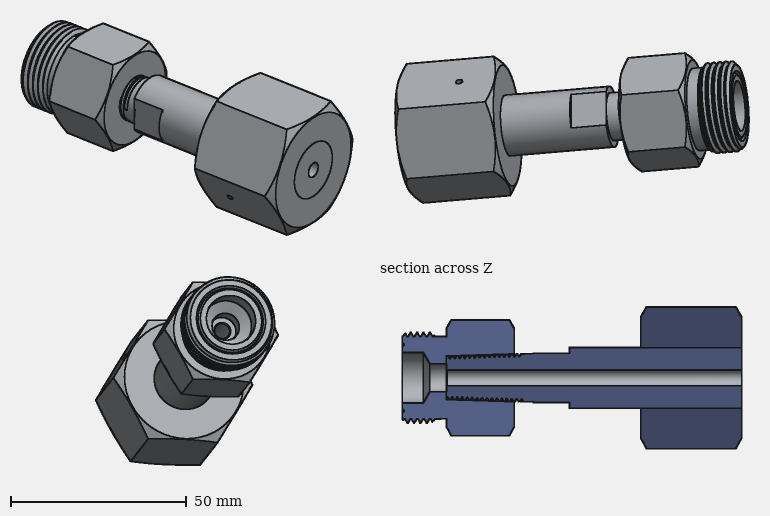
import cadquery as cq
import math


adapter_hex_start = 12.5
adapter_hex_end = 31.85
stem_shoulder = 37.3
wrench_flat_end = 47.5
nut_start = 67.75
overall_length = 96.5

adapter_across_flats = 28.6
nut_across_flats = 34.9
hex_chamfer_inset = 0.2
hex_chamfer_angle = 30.0

neck_radius = 11.8
thread_crest_radius = 12.9
thread_pitch = 9.1 / 5
thread_crest_width = 0.2
thread_flank_angle = 30.0
thread_length = 9.4
thread_end_chamfer = 1.3
thread_helix_start = -1.6
face_groove_radius = 9.5
face_groove_half_width = 0.6
face_groove_depth = 0.6
bore_radius = 7.1
bore_depth = 6.0
bore_cone_depth = 1.8
passage_radius = 4.0

stem_radius = 8.7
spigot_radius = 6.9
wrench_flat_distance = 7.0
gas_hole_radius = 2.2
gas_hole_chamfer = 0.2
pipe_taper_start = 35.2
pipe_taper = 1 / 32
pipe_thread_pitch = 7.0 / 5
pipe_thread_depth = 0.8
pipe_thread_end = 34.0
pipe_thread_turns = 15 + 3 / 4
spigot_tip_radius = spigot_radius - pipe_taper * (pipe_taper_start - adapter_hex_start)
socket_mouth_radius = spigot_radius - pipe_taper * (pipe_taper_start - adapter_hex_end)

vent_position = 78.3
vent_diameter = 1.8
vent_tilt = 30.0

blend_overlap = 0.1
straight_helix = 360.0


def cylinder(start, end, radius):
    """Solid cylinder along X."""
    return cq.Workplane("YZ").workplane(offset=start).circle(radius).extrude(end - start)


def revolved(profile):
    """Solid turned about the X axis from (x, radius) points."""
    return cq.Workplane("XY").polyline(profile).close().revolve(360, (0, 0, 0), (1, 0, 0))


def chamfered_hexagon(start, end, across_flats):
    """Hexagonal bar along X, two sides facing +Z and -Z, with turned corners at both ends."""
    corner_radius = across_flats / math.sqrt(3)
    chamfer_radius = across_flats / 2 - hex_chamfer_inset
    chamfer_length = (corner_radius - chamfer_radius) * math.tan(math.radians(hex_chamfer_angle))
    bar = cq.Workplane("YZ").workplane(offset=start).polygon(6, 2 * corner_radius).extrude(end - start)
    envelope = revolved([
        (start, 0),
        (start, chamfer_radius),
        (start + chamfer_length, corner_radius),
        (end - chamfer_length, corner_radius),
        (end, chamfer_radius),
        (end, 0),
    ])
    return bar.intersect(envelope)


def helical_sweep(profile, start, pitch, turns, cone_angle=straight_helix):
    """Right-hand sweep along X of a (radius, axial offset) profile, starting below the axis.

    The cone angle, in degrees from the axis, widens the helix towards +X.
    """
    helix = cq.Workplane(obj=cq.Wire.makeHelix(pitch, pitch * turns, profile[0][0], angle=cone_angle))
    swept = cq.Workplane("XZ").polyline(profile).close().sweep(helix, isFrenet=True)
    return swept.rotate((0, 0, 0), (0, 1, 0), 90).translate((start, 0, 0))


def adapter_thread():
    """Ridge of the external thread, chamfered at both ends."""
    base_radius = neck_radius - blend_overlap
    crest_half = thread_crest_width / 2
    flank_run = (thread_crest_radius - base_radius) * math.tan(math.radians(thread_flank_angle))
    base_half = crest_half + flank_run
    profile = [
        (base_radius, -base_half),
        (thread_crest_radius, -crest_half),
        (thread_crest_radius, crest_half),
        (base_radius, base_half),
    ]
    turns = math.ceil((thread_length - thread_helix_start) / thread_pitch)
    ridge = helical_sweep(profile, thread_helix_start, thread_pitch, turns)
    outer_radius = thread_crest_radius + blend_overlap
    envelope = revolved([
        (0, 0),
        (0, outer_radius - thread_end_chamfer),
        (thread_end_chamfer, outer_radius),
        (thread_length - thread_end_chamfer, outer_radius),
        (thread_length, outer_radius - thread_end_chamfer),
        (thread_length, 0),
    ])
    return ridge.intersect(envelope)


def make_adapter():
    """Threaded hexagonal adapter with a stepped passage from the front face to the stem socket."""
    neck = cylinder(0, adapter_hex_start, neck_radius)
    hexagon = chamfered_hexagon(adapter_hex_start, adapter_hex_end, adapter_across_flats)
    face_groove = revolved([
        (0, face_groove_radius - face_groove_half_width),
        (face_groove_depth, face_groove_radius),
        (0, face_groove_radius + face_groove_half_width),
    ])
    passage = revolved([
        (0, 0),
        (0, bore_radius),
        (bore_depth, bore_radius),
        (bore_depth + bore_cone_depth, passage_radius),
        (adapter_hex_start, passage_radius),
        (adapter_hex_start, spigot_tip_radius),
        (adapter_hex_end, socket_mouth_radius),
        (adapter_hex_end, 0),
    ])
    return neck.union(adapter_thread()).union(hexagon).cut(face_groove).cut(passage)


def pipe_thread_groove():
    """Helical V groove on the tapered spigot, running out just before the shoulder."""
    start = pipe_thread_end - pipe_thread_pitch * pipe_thread_turns
    crest_radius = spigot_radius - pipe_taper * (pipe_taper_start - start)
    outer_radius = crest_radius + blend_overlap
    root_radius = crest_radius - pipe_thread_depth
    half_width = (outer_radius - root_radius) * math.tan(math.radians(thread_flank_angle))
    profile = [
        (root_radius, 0),
        (outer_radius, half_width),
        (outer_radius, -half_width),
    ]
    cone_angle = math.degrees(math.atan(pipe_taper))
    return helical_sweep(profile, start, pipe_thread_pitch, pipe_thread_turns, cone_angle)


def make_stem():
    """Tubular stem screwed into the adapter and running through the nut."""
    spigot = revolved([
        (adapter_hex_start, 0),
        (adapter_hex_start, spigot_tip_radius),
        (pipe_taper_start, spigot_radius),
        (stem_shoulder, spigot_radius),
        (stem_shoulder, 0),
    ]).cut(pipe_thread_groove())
    barrel = cylinder(stem_shoulder, overall_length, stem_radius)
    flat_length = wrench_flat_end - stem_shoulder
    flat_depth = stem_radius - wrench_flat_distance
    for side in (-1, 1):
        flat_cut = cq.Workplane("XY").box(flat_length, flat_depth, 2 * stem_radius).translate(
            (stem_shoulder + flat_length / 2, side * (wrench_flat_distance + flat_depth / 2), 0)
        )
        barrel = barrel.cut(flat_cut)
    gas_hole = revolved([
        (adapter_hex_start, 0),
        (adapter_hex_start, gas_hole_radius + gas_hole_chamfer),
        (adapter_hex_start + gas_hole_chamfer, gas_hole_radius),
        (overall_length, gas_hole_radius),
        (overall_length, 0),
    ])
    return spigot.union(barrel).cut(gas_hole)


def make_nut():
    """Hexagonal nut around the stem, with a vent hole in two opposite sides."""
    hexagon = chamfered_hexagon(nut_start, overall_length, nut_across_flats)
    stem_hole = cylinder(nut_start, overall_length, stem_radius)
    vents = (
        cq.Workplane("XZ")
        .circle(vent_diameter / 2)
        .extrude(nut_across_flats, both=True)
        .rotate((0, 0, 0), (1, 0, 0), vent_tilt)
        .translate((vent_position, 0, 0))
    )
    return hexagon.cut(stem_hole).cut(vents)


adapter = make_adapter()
stem = make_stem()
nut = make_nut()

result = cq.Compound.makeCompound([*adapter.solids().vals(), *stem.solids().vals(), *nut.solids().vals()])